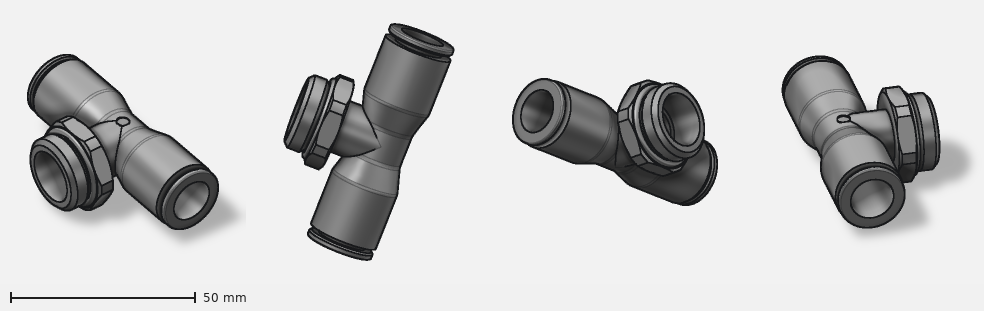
import cadquery as cq
import math


run_length = 62.0
bore_radius = 6.0
sleeve_radius = 9.5
sleeve_end = 27.8
waist_radius = 7.4
taper_outer = 11.8
taper_inner = 4.6
outer_blend = 3.1
inner_blend = 3.95

collar_radius = 9.25
collar_width = 1.9
collar_neck_radius = 6.65
collar_front_fillet = 0.4
collar_back_chamfer = 0.55

nut_start = 12.45
nut_width = 5.1
branch_end = 24.5
nut_across_flats = 24.0
nut_corner_radius = 13.0
nut_chamfer_angle = 30.0
spigot_radius = 10.55
spigot_land_start = 19.8
spigot_chamfer = 1.3
counterbore_radius = 7.45
counterbore_depth = 9.4

seal_radius = 10.65
seal_section_radius = 1.0
seal_offset = 0.1

recess_radius = 1.8
recess_depth = 0.4

nut_end = nut_start + nut_width
run_half = run_length / 2


def along_branch(radius, start, end):
    """Cylinder on the branch axis between two distances from the run axis."""
    plane = cq.Workplane("XZ", origin=(0, -start, 0))
    return plane.circle(radius).extrude(end - start)


def make_half_run():
    """Waist, blended taper and sleeve on the +X side."""
    taper = math.atan2(sleeve_radius - waist_radius, taper_outer - taper_inner)
    inner_setback = inner_blend * math.tan(taper / 2)
    outer_setback = outer_blend * math.tan(taper / 2)
    run_step = math.cos(taper)
    rise_step = math.sin(taper)
    taper_start = (taper_inner + inner_setback * run_step, waist_radius + inner_setback * rise_step)
    taper_stop = (taper_outer - outer_setback * run_step, sleeve_radius - outer_setback * rise_step)
    return (
        cq.Workplane("XY")
        .moveTo(0, 0)
        .lineTo(0, waist_radius)
        .lineTo(taper_inner - inner_setback, waist_radius)
        .tangentArcPoint(taper_start, relative=False)
        .lineTo(*taper_stop)
        .tangentArcPoint((taper_outer + outer_setback, sleeve_radius), relative=False)
        .lineTo(sleeve_end, sleeve_radius)
        .lineTo(sleeve_end, 0)
        .close()
        .revolve(360, (0, 0, 0), (1, 0, 0))
    )


def make_collar():
    """Release collar with its neck on the +X side."""
    collar_start = run_half - collar_width
    collar = cq.Workplane("YZ", origin=(collar_start, 0, 0)).circle(collar_radius).extrude(collar_width)
    collar = collar.faces(">X").edges().fillet(collar_front_fillet)
    collar = collar.faces("<X").edges().chamfer(collar_back_chamfer)
    neck = cq.Workplane("YZ", origin=(sleeve_end, 0, 0)).circle(collar_neck_radius)
    return collar.union(neck.extrude(collar_start - sleeve_end))


def make_nut():
    """Hexagon with two flats square to Z, its corners turned round and chamfered."""
    across_corners = nut_across_flats / math.cos(math.pi / 6)
    hexagon = cq.Workplane("XZ", origin=(0, -nut_start, 0)).polygon(6, across_corners).extrude(nut_width)
    chamfer_radial = nut_corner_radius - nut_across_flats / 2
    chamfer_axial = chamfer_radial * math.tan(math.radians(nut_chamfer_angle))
    turned = along_branch(nut_corner_radius, nut_start, nut_end)
    turned = turned.faces(">Y").edges().chamfer(chamfer_axial, chamfer_radial)
    turned = turned.faces("<Y").edges().chamfer(chamfer_axial, chamfer_radial)
    return hexagon.intersect(turned)


def make_spigot():
    """Undercut, land and lead-in chamfer below the nut."""
    undercut_radius = spigot_radius - spigot_chamfer
    return (
        cq.Workplane("XY")
        .moveTo(0, -nut_start)
        .lineTo(undercut_radius, -nut_start)
        .lineTo(undercut_radius, spigot_chamfer - spigot_land_start)
        .lineTo(spigot_radius, -spigot_land_start)
        .lineTo(spigot_radius, spigot_chamfer - branch_end)
        .lineTo(undercut_radius, -branch_end)
        .lineTo(0, -branch_end)
        .close()
        .revolve(360, (0, 0, 0), (0, 1, 0))
    )


def make_seal():
    """Sealing ring partly sunk into the nut face."""
    seal_centre = nut_end + seal_offset
    return (
        cq.Workplane("XY")
        .center(seal_radius, -seal_centre)
        .circle(seal_section_radius)
        .revolve(360, (-seal_radius, 0, 0), (-seal_radius, 1, 0))
    )


half_run = make_half_run().union(make_collar())
body = half_run.union(half_run.mirror("YZ"))
body = body.union(along_branch(waist_radius, 0, nut_start))
body = body.union(make_nut()).union(make_spigot()).union(make_seal())

run_bore = cq.Workplane("YZ", origin=(-run_half, 0, 0)).circle(bore_radius).extrude(run_length)
branch_bore = along_branch(bore_radius, 0, branch_end)
counterbore = along_branch(counterbore_radius, branch_end - counterbore_depth, branch_end)
recess_plane = cq.Workplane("XY", origin=(0, 0, waist_radius - recess_depth))
recess = recess_plane.circle(recess_radius).extrude(recess_depth)

result = body.cut(run_bore).cut(branch_bore).cut(counterbore).cut(recess)